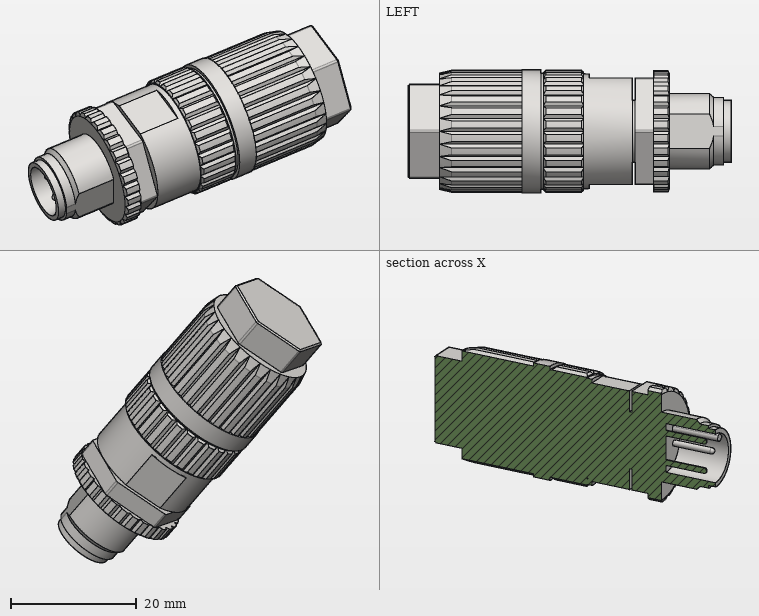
import cadquery as cq
import math


TIP_END = 1.25
RELIEF_END = 2.8
CONE_END = 3.5
NUT_KNURL_START = 9.8
NUT_HEX_START = 12.4
NUT_END = 15.3
BODY_START = 15.7
BODY_FLAT_END = 22.55
RING_START = 23.45
RING_END = 29.85
COLLAR_START = 30.25
COLLAR_END = 33.3
CAP_END = 46.35
LENGTH = 51.35

TIP_RADIUS = 4.95
RELIEF_RADIUS = 5.4
THREAD_RADIUS = 6.0
THREAD_FLAT_OFFSET = 5.35
BORE_DIAMETER = 8.25
BORE_RADIUS = BORE_DIAMETER / 2
BORE_DEPTH = 9.0
PIN_RADIUS = 0.5
PIN_CIRCLE_RADIUS = 2.5
PIN_COUNT = 4
PIN_TIP_DEPTH = 1.65
KEY_RADIUS = 0.6
KEY_CENTER_RADIUS = 3.6
KEY_ANGLE = 45
KEY_RECESS = 0.7

NECK_RADIUS = 4.95
BODY_RADIUS = 9.15
BODY_FLAT_OFFSET = 8.45
GAP_RADIUS = 9.25
COLLAR_RADIUS = 9.8
NUT_ACROSS_FLATS = 16.95
CABLE_HEX_ACROSS_FLATS = 15.0
HEX_EDGE_RADIUS = 0.4
CABLE_HEX_END_CHAMFER = 0.25

TOOTH_COUNT = 28
KNURL_RADIUS = 9.7
NUT_KNURL_RADIUS = 9.65
GROOVE_DEPTH = 0.45
GROOVE_WIDTH = 1.1
RING_CHAMFER = 0.35
NUT_CHAMFER = (0.25, 0.6)
CAP_CHAMFER = (1.95, GROOVE_DEPTH)

OVERCUT = 0.5


def revolved(profile):
    """Solid of revolution about Y from (radius, y) points."""
    return cq.Workplane("XY").polyline(profile).close().revolve(360, (0, 0), (0, 1))


def cylinder(radius, start, end):
    return section_plane(start).circle(radius).extrude(start - end)


def section_plane(y):
    """Plane across the axis at the given Y; local x is X and local y is Z."""
    return cq.Workplane("XZ", origin=(0, y, 0))


def hex_prism(across_flats, start, end):
    """Hexagonal prism with flats at +-Z and rounded long edges."""
    across_corners = across_flats / math.cos(math.pi / 6)
    prism = section_plane(start).polygon(6, across_corners).extrude(start - end)
    return prism.edges("|Y").fillet(HEX_EDGE_RADIUS)


def knurled_ring(radius, start, end, start_chamfer=(0, 0), end_chamfer=(0, 0)):
    """Disc with V grooves along Y; chamfers are (along Y, along the radius)."""
    profile = [(0, start), (radius - start_chamfer[1], start)]
    if start_chamfer[0]:
        profile.append((radius, start + start_chamfer[0]))
    if end_chamfer[0]:
        profile.append((radius, end - end_chamfer[0]))
    profile += [(radius - end_chamfer[1], end), (0, end)]

    cutter_scale = (GROOVE_DEPTH + OVERCUT) / GROOVE_DEPTH
    half_width = cutter_scale * GROOVE_WIDTH / 2
    groove = (
        section_plane(start)
        .moveTo(radius - GROOVE_DEPTH, 0)
        .lineTo(radius + OVERCUT, half_width)
        .lineTo(radius + OVERCUT, -half_width)
        .close()
        .extrude(start - end)
    )
    ring = revolved(profile)
    for index in range(TOOTH_COUNT):
        ring = ring.cut(groove.rotate((0, 0, 0), (0, 1, 0), index * 360 / TOOTH_COUNT))
    return ring


def mating_plug():
    """Stepped plug with two side flats and an open socket."""
    plug = revolved([
        (0, 0),
        (TIP_RADIUS, 0),
        (TIP_RADIUS, TIP_END),
        (RELIEF_RADIUS, TIP_END),
        (RELIEF_RADIUS, RELIEF_END),
        (THREAD_RADIUS, CONE_END),
        (THREAD_RADIUS, NUT_KNURL_START),
        (0, NUT_KNURL_START),
    ])
    between_flats = (
        section_plane(0)
        .rect(2 * THREAD_FLAT_OFFSET, 2 * THREAD_RADIUS)
        .extrude(-NUT_KNURL_START)
    )
    return plug.intersect(between_flats).cut(cylinder(BORE_RADIUS, 0, BORE_DEPTH))


def contact_pins():
    """Pins with domed tips standing on the socket floor."""
    dome_center = PIN_TIP_DEPTH + PIN_RADIUS
    pin = cylinder(PIN_RADIUS, dome_center, BORE_DEPTH)
    pin = pin.union(cq.Workplane("XY", origin=(0, dome_center, 0)).sphere(PIN_RADIUS))
    pin = pin.translate((PIN_CIRCLE_RADIUS, 0, 0))
    pins = cq.Workplane("XY")
    for index in range(PIN_COUNT):
        pins = pins.union(pin.rotate((0, 0, 0), (0, 1, 0), index * 360 / PIN_COUNT))
    return pins


def coding_key():
    """Round-nosed rib along the socket wall."""
    outer_end = (BORE_RADIUS + TIP_RADIUS) / 2
    key = (
        section_plane(KEY_RECESS)
        .moveTo(outer_end, -KEY_RADIUS)
        .lineTo(KEY_CENTER_RADIUS, -KEY_RADIUS)
        .threePointArc((KEY_CENTER_RADIUS - KEY_RADIUS, 0), (KEY_CENTER_RADIUS, KEY_RADIUS))
        .lineTo(outer_end, KEY_RADIUS)
        .close()
        .extrude(KEY_RECESS - BORE_DEPTH)
    )
    return key.rotate((0, 0, 0), (0, 1, 0), -KEY_ANGLE)


def coupling_nut():
    knurl = knurled_ring(NUT_KNURL_RADIUS, NUT_KNURL_START, NUT_HEX_START, start_chamfer=NUT_CHAMFER)
    return knurl.union(hex_prism(NUT_ACROSS_FLATS, NUT_HEX_START, NUT_END))


def body():
    """Neck and round body with a wrench flat on top and bottom."""
    between_flats = (
        section_plane(BODY_START)
        .rect(2 * BODY_RADIUS, 2 * BODY_FLAT_OFFSET)
        .extrude(BODY_START - BODY_FLAT_END)
    )
    barrel = cylinder(BODY_RADIUS, BODY_START, BODY_FLAT_END).intersect(between_flats)
    barrel = barrel.union(cylinder(BODY_RADIUS, BODY_FLAT_END, RING_START))
    return barrel.union(cylinder(NECK_RADIUS, NUT_END, BODY_START))


def grip_sleeve():
    """Knurled ring, plain collar and knurled cap."""
    chamfer = (RING_CHAMFER, RING_CHAMFER)
    ring = knurled_ring(KNURL_RADIUS, RING_START, RING_END, chamfer, chamfer)
    gap = cylinder(GAP_RADIUS, RING_END, COLLAR_START)
    collar = cylinder(COLLAR_RADIUS, COLLAR_START, COLLAR_END)
    cap = knurled_ring(KNURL_RADIUS, COLLAR_END, CAP_END, end_chamfer=CAP_CHAMFER)
    return ring.union(gap).union(collar).union(cap)


def cable_hex():
    prism = hex_prism(CABLE_HEX_ACROSS_FLATS, CAP_END, LENGTH)
    return prism.faces(">Y").chamfer(CABLE_HEX_END_CHAMFER)


result = (
    mating_plug()
    .union(contact_pins())
    .union(coding_key())
    .union(coupling_nut())
    .union(body())
    .union(grip_sleeve())
    .union(cable_hex())
)